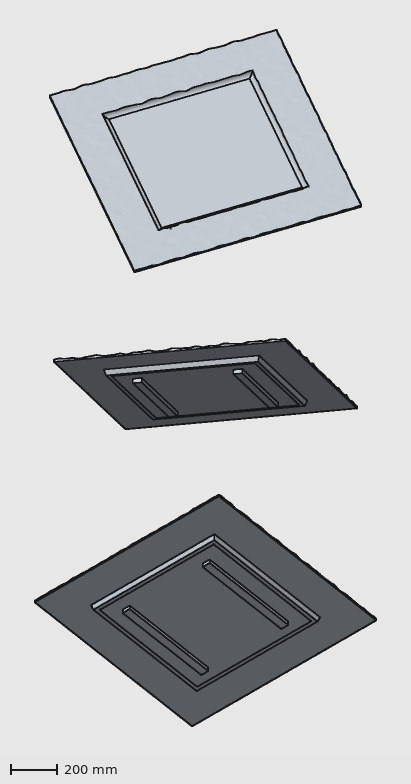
import cadquery as cq
import math

slab_side = 1050.0
relief_top = 59.96
relief_depth = 11.0
slab_bottom = 45.0
rim_bottom = 20.0
rim_side_top = 705.0
rim_side_bottom = 689.0

opening_side = 696.0
panel_side = 650.0
panel_top = 35.0
wall_hollow = 6.4

rail_width = 40.0
rail_length = slab_side / 2
rail_spacing = 456.0

warp_reach = 20.0
warp_scale_x = 53.0
warp_scale_y = 47.0
warp_phase_x = 2.0
warp_phase_y = 1.0
fine_scale_x = 11.0
fine_scale_y = 13.0
diagonal_scale = 19.0
diagonal_weight = 0.7
broad_scale = 31.0
broad_weight = 0.5

relief_pitch = 12.0
relief_tolerance = 0.2
relief_margin = 15.0
cut_clearance = 10.0


def relief_height(x, y):
    """Height of the stone surface: warped ripples of several wavelengths."""
    warp_x = x + warp_reach * math.sin(y / warp_scale_y + warp_phase_y)
    warp_y = y + warp_reach * math.sin(x / warp_scale_x + warp_phase_x)
    ripples = (
        math.sin(warp_x / fine_scale_x) * math.sin(warp_y / fine_scale_y)
        + diagonal_weight * math.sin((warp_x + warp_y) / diagonal_scale)
        + broad_weight * math.sin((warp_x - 2 * warp_y) / broad_scale)
    )
    ripple_limit = 1 + diagonal_weight + broad_weight
    return relief_top - relief_depth * (1 - ripples / ripple_limit) / 2


def make_relief_face():
    span = slab_side + 2 * relief_margin
    steps = round(span / relief_pitch)
    stations = [-span / 2 + span * i / steps for i in range(steps + 1)]
    grid = [[cq.Vector(x, y, relief_height(x, y)) for y in stations] for x in stations]
    return cq.Face.makeSplineApprox(grid, tol=relief_tolerance, minDeg=3, maxDeg=3)


def square_block(side, bottom_z, top_z):
    return cq.Workplane("XY", origin=(0, 0, bottom_z)).rect(side, side).extrude(top_z - bottom_z)


def make_slab():
    blank = square_block(slab_side, slab_bottom, relief_top + cut_clearance)
    pieces = blank.val().split(make_relief_face()).Solids()
    return cq.Workplane(min(pieces, key=lambda piece: piece.Center().z))


def make_rim():
    return (
        cq.Workplane("XY", origin=(0, 0, rim_bottom))
        .rect(rim_side_bottom, rim_side_bottom)
        .workplane(offset=slab_bottom - rim_bottom)
        .rect(rim_side_top, rim_side_top)
        .loft(ruled=True)
    )


def recess_channel(plane):
    """Straight channel with the recess section, running along the plane normal."""
    foot = panel_side / 2
    brim = opening_side / 2
    run = brim - foot
    rise = relief_top - panel_top
    chord = math.hypot(run, rise)
    bulge_x = (foot + brim) / 2 + wall_hollow * rise / chord
    bulge_z = (panel_top + relief_top) / 2 - wall_hollow * run / chord
    return (
        cq.Workplane(plane)
        .moveTo(-foot, panel_top)
        .lineTo(foot, panel_top)
        .threePointArc((bulge_x, bulge_z), (brim, relief_top))
        .lineTo(brim, relief_top + cut_clearance)
        .lineTo(-brim, relief_top + cut_clearance)
        .lineTo(-brim, relief_top)
        .threePointArc((-bulge_x, bulge_z), (-foot, panel_top))
        .close()
        .extrude(slab_side / 2, both=True)
    )


def make_frame():
    recess = recess_channel("XZ").intersect(recess_channel("YZ"))
    panel_hole = square_block(panel_side, rim_bottom, panel_top)
    return make_slab().union(make_rim()).cut(recess).cut(panel_hole)


def make_panel():
    return square_block(panel_side, rim_bottom, panel_top)


def make_rail(x):
    return cq.Workplane("XY", origin=(x, 0, 0)).rect(rail_width, rail_length).extrude(rim_bottom)


frame = make_frame()
panel = make_panel()
rails = [make_rail(side * rail_spacing / 2) for side in (-1, 1)]

result = cq.Compound.makeCompound([frame.val(), panel.val(), *[rail.val() for rail in rails]])